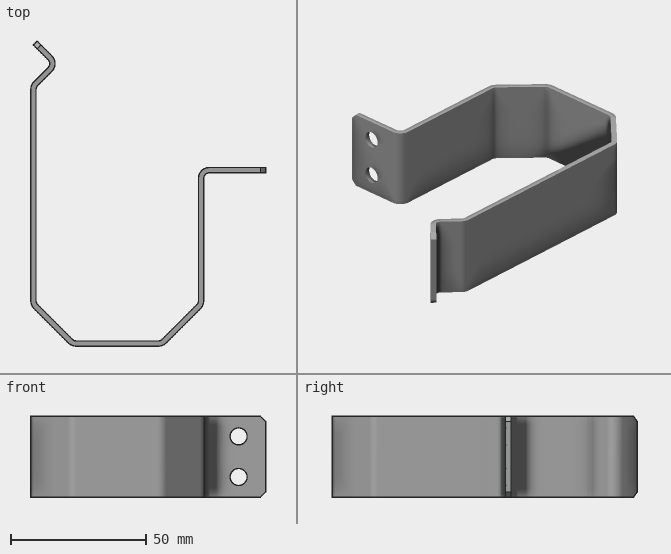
import cadquery as cq
import math

thickness = 2.0
strip_width = 30.0
inner_bend_radius = 2.0
outer_bend_radius = inner_bend_radius + thickness
end_chamfer = 2.0

overall_length = 113.0
overall_width = 87.0
loop_width = 64.0
corner_cut = 15.1
flange_height = 66.2

hook_reach = 9.0
hook_apex_y = 104.6

hole_diameter = 6.2
hole_spacing = 15.0
hole_end_distance = 10.0

half = thickness / 2
diagonal = math.sqrt(0.5)
miter = half * math.tan(math.radians(22.5))

middle_radius = inner_bend_radius + half
hook_corner_x = hook_reach - outer_bend_radius + middle_radius / diagonal
tip_y = overall_length - half * diagonal
tip_x = hook_corner_x - (tip_y - hook_apex_y)
leg_top_y = hook_apex_y - (hook_corner_x - half)

centreline = [
    (tip_x, tip_y),
    (hook_corner_x, hook_apex_y),
    (half, leg_top_y),
    (half, corner_cut + miter),
    (corner_cut + miter, half),
    (loop_width - corner_cut - miter, half),
    (loop_width - half, corner_cut + miter),
    (loop_width - half, flange_height - half),
    (overall_width, flange_height - half),
]


def direction(start, end):
    """Unit vector from start to end."""
    length = math.dist(start, end)
    return (end[0] - start[0]) / length, (end[1] - start[1]) / length


def offset_path(points, distance):
    """Mitred parallel of an open path; a positive distance lies to its left."""
    shifted = []
    for i, (x, y) in enumerate(points):
        before = direction(points[max(i - 1, 0)], points[max(i, 1)])
        last = len(points) - 1
        after = direction(points[min(i, last - 1)], points[min(i + 1, last)])
        scale = distance / (1 + before[0] * after[0] + before[1] * after[1])
        shifted.append((x - scale * (before[1] + after[1]), y + scale * (before[0] + after[0])))
    return shifted


def turns_left(before, corner, after):
    """True when the path bends to the left at the corner."""
    d1 = direction(before, corner)
    d2 = direction(corner, after)
    return d1[0] * d2[1] - d1[1] * d2[0] > 0


def vertical_edge(body, point):
    """Vertical edge of the strip that passes through a plan point."""
    target = (point[0], point[1], strip_width / 2)
    return body.edges("|Z").edges(cq.selectors.NearestToPointSelector(target))


def bent_strip():
    """Strip of constant thickness with concentric radii at each bend."""
    left = offset_path(centreline, half)
    right = offset_path(centreline, -half)
    body = cq.Workplane("XY").polyline(left + right[::-1]).close().extrude(strip_width)
    for i in range(1, len(centreline) - 1):
        left_is_inside = turns_left(*centreline[i - 1:i + 2])
        left_radius = inner_bend_radius if left_is_inside else outer_bend_radius
        right_radius = outer_bend_radius if left_is_inside else inner_bend_radius
        body = vertical_edge(body, left[i]).fillet(left_radius)
        body = vertical_edge(body, right[i]).fillet(right_radius)
    return body


def chamfer_end(body, end_point):
    """Chamfer the top and bottom corners at one end of the strip."""
    for z in (0, strip_width):
        corner = cq.selectors.NearestToPointSelector((end_point[0], end_point[1], z))
        body = body.edges(corner).chamfer(end_chamfer)
    return body


def mounting_holes():
    """Two cutters through the flange, one above the other."""
    hole_x = overall_width - hole_end_distance
    middle_z = strip_width / 2
    return (
        cq.Workplane("XZ", origin=(0, flange_height, 0))
        .pushPoints([(hole_x, middle_z + side * hole_spacing / 2) for side in (-1, 1)])
        .circle(hole_diameter / 2)
        .extrude(thickness)
    )


strip = bent_strip()
for end in (centreline[0], centreline[-1]):
    strip = chamfer_end(strip, end)

result = strip.cut(mounting_holes())